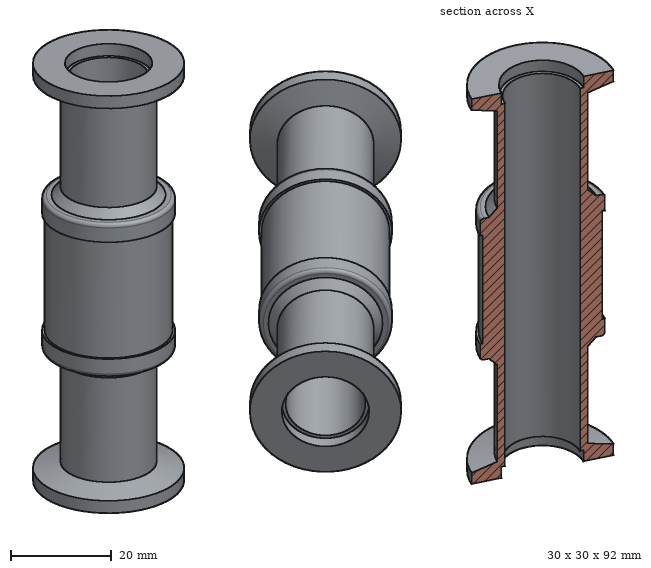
import cadquery as cq
import math

length = 91.95

flange_radius = 30.0 / 2
flange_rim_height = 2.8
flange_cone_angle = 15.0

tube_radius = 19.1 / 2
bore_radius = 15.8 / 2
counterbore_radius = 17.3 / 2
counterbore_depth = 2.7

body_radius = 25.4 / 2
collar_radius = 26.4 / 2
collar_height = 4.0
collar_end_offset = 29.1
collar_fillet = 0.8
shoulder_radius = 22.6 / 2
shoulder_height = 1.8

half_length = length / 2
flange_cone_height = (flange_radius - tube_radius) * math.tan(math.radians(flange_cone_angle))
collar_top = half_length - collar_end_offset
collar_bottom = collar_top - collar_height


def revolve_profile(points):
    """Turn a closed (radius, height) outline around the Z axis."""
    return cq.Workplane("XZ").polyline(points).close().revolve(360, (0, 0, 0), (0, 1, 0))


def make_cylinder(radius, bottom, top):
    """Solid cylinder on the Z axis between two heights."""
    return cq.Workplane("XY", origin=(0, 0, bottom)).circle(radius).extrude(top - bottom)


def make_flange_and_neck():
    """Upper flange, its backing cone, the tube and the shoulder where it meets the collar."""
    rim_bottom = half_length - flange_rim_height
    return revolve_profile([
        (0, collar_top),
        (shoulder_radius, collar_top),
        (tube_radius, collar_top + shoulder_height),
        (tube_radius, rim_bottom - flange_cone_height),
        (flange_radius, rim_bottom),
        (flange_radius, half_length),
        (0, half_length),
    ])


def make_collar():
    """Upper collar with its outer edge rounded."""
    collar = make_cylinder(collar_radius, collar_bottom, collar_top)
    return collar.faces(">Z").edges().fillet(collar_fillet)


def make_counterbore():
    """Cutter for the recess in the upper flange face."""
    return make_cylinder(counterbore_radius, half_length - counterbore_depth, half_length)


upper_end = make_flange_and_neck().union(make_collar()).cut(make_counterbore())
lower_end = upper_end.mirror("XY")
body = make_cylinder(body_radius, -collar_bottom, collar_bottom)
bore = make_cylinder(bore_radius, -half_length, half_length)

result = body.union(upper_end).union(lower_end).cut(bore)